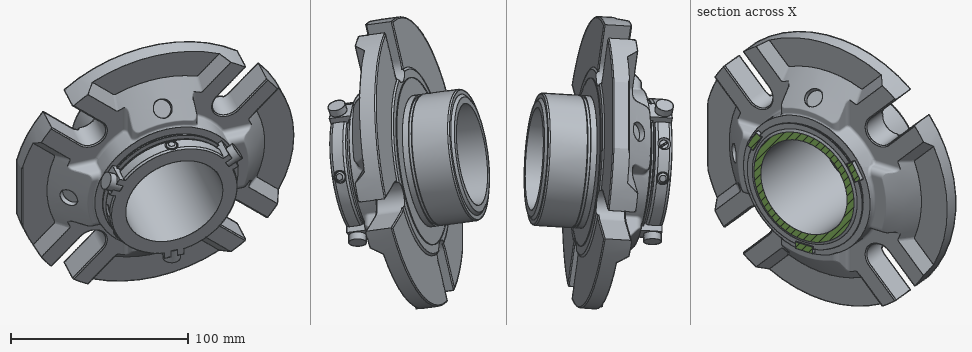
import cadquery as cq
import math


ARC_INSET = 1 - math.sqrt(0.5)
TOLERANCE = 0.02

BORE_D = 57.99
NOSE_TIP_D = 65.66
NOSE_BASE_D = 69.09
NOSE_LENGTH = 1.5
SLEEVE_D = 74.93
SLEEVE_CHAMFER_LENGTH = 1.0
SLEEVE_CHAMFER_DEPTH = 0.5
GROOVE_D = 73.13
GROOVE_START = 24.2
GROOVE_END = 25.8

FLANGE_FACE_X = 30.7
FLANGE_BACK_X = 40.4
FLANGE_D = 164.86
FLANGE_FLAT_Y = -80.0
EDGE_CHAMFER = 0.7
LIP_BASE_D = 107.5
LIP_TOP_D = 105.0
LIP_HEIGHT = 0.9
GASKET_STEP_D = 95.25
GASKET_STEP_HEIGHT = 1.4

SLOT_WIDTH = 17.7
SLOT_END_RADIUS = 57.5
SLOT_ANGLES = (45, 135, 225, 315)
PAD_TOP_X = 46.7
PAD_BASE_HALF_WIDTH = 25.0
PAD_TOP_HALF_WIDTH = 19.7
PAD_ROOT_FILLET = 2.0
PAD_TRIM = 2.0

CONE_BASE_R = 65.0
LOBE_HALF_WIDTH = 19.4
LOBE_FOOT_FILLET = 2.5
LOBE_CORNER_R = 3.8
LOBE_EDGE_FILLET = 1.0
LOBE_END_X = 58.5
SHORT_LOBE_END_X = 54.8
LOBE_ENDS = {0: SHORT_LOBE_END_X, 90: LOBE_END_X, 180: LOBE_END_X, 270: LOBE_END_X}
HUB_D = 85.4
HUB_END_X = 59.2
HUB_FILLET = 1.5
PORT_D = 11.0
PORT_DEPTH = 3.4
PORTS = {180: 50.1, 90: 52.5}

SPACER_D = 76.15
DISC_D = 77.67
DISC_START = 60.5
DISC_END = 61.5
NECK_START_D = 71.0
NECK_END_D = 65.66
COLLAR_D = 76.15
COLLAR_START = 62.9
COLLAR_END = 72.3
COLLAR_CHAMFER_LENGTH = 1.5
COLLAR_CHAMFER_DEPTH = 0.6

PART_LENGTH = 72.74
CLIP_ANGLES = (30, 150, 270)
CLIP_START_X = 59.6
CLIP_WIDTH = 11.6
CLIP_BOTTOM_R = 36.5
CLIP_TOP_R = 41.0
CLIP_HEAD_D = 10.0
CLIP_HEAD_TOP_R = 45.3
SCREW_X = PART_LENGTH - CLIP_HEAD_D / 2
COUNTERSINK_D = 7.5
COUNTERSINK_DEPTH = 1.2
POINT_SCREW_ANGLES = (90, 210, 330)
POINT_SCREW_D = 6.0
POINT_SCREW_TIP_D = 3.76
POINT_SCREW_TOP_R = 38.8
POINT_SCREW_CHAMFER = 0.8
SLOTTED_SCREW_ANGLE = 180
SLOTTED_SCREW_D = 5.0
SCREW_SLOT_WIDTH = 0.9
SCREW_SLOT_DEPTH = 0.8
SCREW_SLOT_TILT = 35


def cone_radius(x):
    """Radius of the 45 degree hub cone at station x."""
    return CONE_BASE_R - (x - FLANGE_BACK_X)


def turned(points):
    """Revolve an (x, radius) outline, closed along the X axis."""
    outline = [(points[0][0], 0)] + points + [(points[-1][0], 0)]
    return cq.Workplane("XY").polyline(outline).close().revolve(360, (0, 0, 0), (1, 0, 0))


def at_angle(shape, angle):
    """Turn a shape built along +Z to an angle measured from +Y towards +Z."""
    return shape.rotate((0, 0, 0), (1, 0, 0), angle - 90)


def radial_cylinder(x, diameter, inner_r, outer_r):
    """Cylinder along +Z between two radii."""
    cylinder = cq.Workplane("XY").circle(diameter / 2).extrude(outer_r - inner_r)
    return cylinder.translate((x, 0, inner_r))


def edges_on_cone(body, start_x, end_x, radius_at):
    """Edges between two stations that lie on the surface of revolution radius_at(x)."""
    found = []
    for edge in body.edges().vals():
        points = [edge.positionAt(fraction) for fraction in (0, 0.3, 0.5, 0.9, 1)]
        in_range = all(start_x - TOLERANCE < p.x < end_x + TOLERANCE for p in points)
        on_surface = all(abs(math.hypot(p.y, p.z) - radius_at(p.x)) < TOLERANCE for p in points)
        if in_range and on_surface:
            found.append(edge)
    return found


def is_slot_back_edge(edge):
    """True for an edge where a slot wall meets the top of its pad."""
    center = edge.Center()
    along = max(abs(center.y), abs(center.z))
    across = min(abs(center.y), abs(center.z))
    to_slot_axis = (along - across) * math.sqrt(0.5)
    on_pad_top = edge.BoundingBox().xmin > PAD_TOP_X - TOLERANCE and center.x < PAD_TOP_X + TOLERANCE
    from_axis = math.hypot(along, across)
    in_slot = SLOT_END_RADIUS - SLOT_WIDTH / 2 < from_axis < FLANGE_D / 2 - SLOT_WIDTH / 2
    return on_pad_top and in_slot and to_slot_axis < SLOT_WIDTH / 2 + TOLERANCE


def is_flat_back_edge(edge):
    """True for the edge where the rim flat meets the back of the flange."""
    center = edge.Center()
    on_flat = abs(center.y - FLANGE_FLAT_Y) < TOLERANCE
    return on_flat and abs(center.x - FLANGE_BACK_X) < TOLERANCE


def make_sleeve():
    sleeve_r = SLEEVE_D / 2
    chamfered_r = sleeve_r - SLEEVE_CHAMFER_DEPTH
    groove_r = GROOVE_D / 2
    return turned([
        (0, NOSE_TIP_D / 2),
        (NOSE_LENGTH, NOSE_BASE_D / 2),
        (NOSE_LENGTH, chamfered_r),
        (NOSE_LENGTH + SLEEVE_CHAMFER_LENGTH, sleeve_r),
        (GROOVE_START - SLEEVE_CHAMFER_DEPTH, sleeve_r),
        (GROOVE_START, chamfered_r),
        (GROOVE_START, groove_r),
        (GROOVE_END, groove_r),
        (GROOVE_END, sleeve_r),
        (FLANGE_BACK_X, sleeve_r),
    ])


def make_slot():
    """Through slot along +Z with a round inner end, open at the rim."""
    straight = cq.Workplane("XY").box(
        PART_LENGTH, SLOT_WIDTH, FLANGE_D / 2, centered=(False, True, False)
    ).translate((0, 0, SLOT_END_RADIUS))
    round_end = cq.Workplane("YZ").center(0, SLOT_END_RADIUS).circle(SLOT_WIDTH / 2).extrude(PART_LENGTH)
    return straight.union(round_end)


def pad_half_width(x):
    """Half width of a pad at station x, along its sloping side walls."""
    slope = (PAD_TOP_HALF_WIDTH - PAD_BASE_HALF_WIDTH) / (PAD_TOP_X - FLANGE_BACK_X)
    return PAD_BASE_HALF_WIDTH + slope * (x - FLANGE_BACK_X)


def make_pads():
    """Four slot pads joined to the hub cone by root fillets.

    The fillets are made on an over-long body that is then trimmed to the pad height.
    """
    flange_r = FLANGE_D / 2
    low_x = FLANGE_BACK_X - PAD_TRIM
    high_x = PAD_TOP_X + PAD_TRIM
    pads = turned([(low_x, cone_radius(low_x)), (high_x, cone_radius(high_x))])
    pad_profile = [
        (low_x, -pad_half_width(low_x)),
        (high_x, -pad_half_width(high_x)),
        (high_x, pad_half_width(high_x)),
        (low_x, pad_half_width(low_x)),
    ]
    pad = cq.Workplane("XY").polyline(pad_profile).close().extrude(flange_r + PAD_TRIM)
    for angle in SLOT_ANGLES:
        pads = pads.union(at_angle(pad, angle))
    root_edges = edges_on_cone(pads, low_x, high_x, cone_radius)
    root_edges = [edge for edge in root_edges if edge.geomType() == "HYPERBOLA"]
    pads = pads.newObject(root_edges).fillet(PAD_ROOT_FILLET)
    return pads.intersect(turned([(FLANGE_BACK_X, flange_r), (PAD_TOP_X, flange_r)]))


def make_plate():
    """Flange disc with slot pads and a flat on the -Y side."""
    flange_r = FLANGE_D / 2
    plate = turned([(FLANGE_FACE_X, flange_r), (FLANGE_BACK_X, flange_r)]).union(make_pads())
    beyond_flat = cq.Workplane("XY").box(PART_LENGTH, FLANGE_D, FLANGE_D, centered=(False, True, True))
    return plate.cut(beyond_flat.translate((0, FLANGE_FLAT_Y - flange_r, 0)))


def make_flange_with_hub():
    body = make_plate().union(make_hub())
    for angle in SLOT_ANGLES:
        body = body.cut(at_angle(make_slot(), angle))
    body = body.faces("<X").chamfer(EDGE_CHAMFER)
    back_edges = [
        edge for edge in body.edges().vals()
        if is_slot_back_edge(edge) or is_flat_back_edge(edge)
    ]
    return body.newObject(back_edges).chamfer(EDGE_CHAMFER)


def make_lip():
    step_x = FLANGE_FACE_X - GASKET_STEP_HEIGHT
    lip_x = FLANGE_FACE_X - LIP_HEIGHT
    lip = turned([
        (step_x, GASKET_STEP_D / 2),
        (lip_x, GASKET_STEP_D / 2),
        (lip_x, LIP_TOP_D / 2),
        (FLANGE_FACE_X, LIP_BASE_D / 2),
        (FLANGE_BACK_X, LIP_BASE_D / 2),
    ])
    for angle in SLOT_ANGLES:
        lip = lip.cut(at_angle(make_slot(), angle))
    return lip


def make_lobe_prism(end_x):
    """Parallel-sided prism along +Z, rounded at its end and flared at its foot."""
    half = LOBE_HALF_WIDTH
    foot_x = PAD_TOP_X + LOBE_FOOT_FILLET
    foot_mid = LOBE_FOOT_FILLET * ARC_INSET
    corner_mid = LOBE_CORNER_R * ARC_INSET
    half_outline = (
        cq.Workplane("XY")
        .moveTo(FLANGE_BACK_X, 0)
        .lineTo(FLANGE_BACK_X, half + LOBE_FOOT_FILLET)
        .lineTo(PAD_TOP_X, half + LOBE_FOOT_FILLET)
        .threePointArc((PAD_TOP_X + foot_mid, half + foot_mid), (foot_x, half))
        .lineTo(end_x - LOBE_CORNER_R, half)
        .threePointArc((end_x - corner_mid, half - corner_mid), (end_x, half - LOBE_CORNER_R))
        .lineTo(end_x, 0)
    )
    return half_outline.mirrorX().extrude(CONE_BASE_R)


def make_hub():
    hub_r = HUB_D / 2
    hub = turned([
        (FLANGE_BACK_X, CONE_BASE_R),
        (PAD_TOP_X, CONE_BASE_R),
        (PAD_TOP_X, hub_r),
        (PART_LENGTH, hub_r),
    ])
    for angle, end_x in LOBE_ENDS.items():
        hub = hub.union(at_angle(make_lobe_prism(end_x), angle))
    root_edges = edges_on_cone(hub, PAD_TOP_X, LOBE_END_X, lambda x: hub_r)
    hub = hub.newObject(root_edges).fillet(HUB_FILLET)
    cone = turned([(FLANGE_BACK_X, CONE_BASE_R), (HUB_END_X, cone_radius(HUB_END_X))])
    hub = hub.intersect(cone)
    side_edges = [
        edge for edge in edges_on_cone(hub, PAD_TOP_X, LOBE_END_X, cone_radius)
        if edge.geomType() != "CIRCLE"
    ]
    return hub.newObject(side_edges).fillet(LOBE_EDGE_FILLET)


def cut_port(body, angle, x):
    """Drill a blind port square to the cone face, centred at station x."""
    surface = cq.Vector(x, 0, cone_radius(x))
    outward = cq.Vector(1, 0, 1).normalized()
    tool = cq.Solid.makeCylinder(
        PORT_D / 2, 3 * PORT_DEPTH, surface - outward * PORT_DEPTH, outward
    )
    return body.cut(at_angle(cq.Workplane(tool), angle))


def make_collar():
    collar_r = COLLAR_D / 2
    chamfered_r = collar_r - COLLAR_CHAMFER_DEPTH
    return turned([
        (HUB_END_X, SPACER_D / 2),
        (DISC_START, SPACER_D / 2),
        (DISC_START, DISC_D / 2),
        (DISC_END, DISC_D / 2),
        (DISC_END, NECK_START_D / 2),
        (COLLAR_START, NECK_END_D / 2),
        (COLLAR_START, chamfered_r),
        (COLLAR_START + COLLAR_CHAMFER_LENGTH, collar_r),
        (COLLAR_END - COLLAR_CHAMFER_LENGTH, collar_r),
        (COLLAR_END, chamfered_r),
    ])


def make_clip():
    block = cq.Workplane("XY").box(
        COLLAR_END - CLIP_START_X, CLIP_WIDTH, CLIP_TOP_R - CLIP_BOTTOM_R, centered=(False, True, False)
    ).translate((CLIP_START_X, 0, CLIP_BOTTOM_R))
    return block.union(radial_cylinder(SCREW_X, CLIP_HEAD_D, CLIP_BOTTOM_R, CLIP_HEAD_TOP_R))


def make_countersink(bottom_d):
    """Conical recess in the collar along +Z, narrowing to bottom_d."""
    bottom_r = COLLAR_D / 2 - COUNTERSINK_DEPTH
    cone = cq.Solid.makeCone(
        bottom_d / 2, COUNTERSINK_D / 2, COUNTERSINK_DEPTH, cq.Vector(SCREW_X, 0, bottom_r)
    )
    return cq.Workplane(cone)


def add_point_screw(body, angle):
    """Countersunk set screw standing slightly proud of the collar."""
    shoulder_r = POINT_SCREW_TOP_R - POINT_SCREW_CHAMFER
    shank = radial_cylinder(SCREW_X, POINT_SCREW_D, BORE_D / 2, shoulder_r)
    tip = cq.Solid.makeCone(
        POINT_SCREW_D / 2, POINT_SCREW_TIP_D / 2, POINT_SCREW_CHAMFER, cq.Vector(SCREW_X, 0, shoulder_r)
    )
    body = body.cut(at_angle(make_countersink(POINT_SCREW_D), angle))
    return body.union(at_angle(shank.union(cq.Workplane(tip)), angle))


def cut_slotted_screw(body, angle):
    """Countersink with a slotted screw head flush with its floor."""
    floor_r = COLLAR_D / 2 - COUNTERSINK_DEPTH
    slot_bottom_r = floor_r - SCREW_SLOT_DEPTH
    screw = radial_cylinder(SCREW_X, SLOTTED_SCREW_D, slot_bottom_r, floor_r)
    slot = (
        cq.Workplane("XY")
        .rect(SLOTTED_SCREW_D, SCREW_SLOT_WIDTH)
        .extrude(SCREW_SLOT_DEPTH)
        .rotate((0, 0, 0), (0, 0, 1), SCREW_SLOT_TILT)
        .translate((SCREW_X, 0, slot_bottom_r))
        .intersect(screw)
    )
    body = body.cut(at_angle(make_countersink(SLOTTED_SCREW_D), angle))
    return body.cut(at_angle(slot, angle))


result = make_sleeve().union(make_flange_with_hub()).union(make_lip()).union(make_collar())
for port_angle, port_x in PORTS.items():
    result = cut_port(result, port_angle, port_x)
for clip_angle in CLIP_ANGLES:
    result = result.union(at_angle(make_clip(), clip_angle))
for screw_angle in POINT_SCREW_ANGLES:
    result = add_point_screw(result, screw_angle)
result = cut_slotted_screw(result, SLOTTED_SCREW_ANGLE)
result = result.cut(cq.Workplane("YZ").circle(BORE_D / 2).extrude(PART_LENGTH))